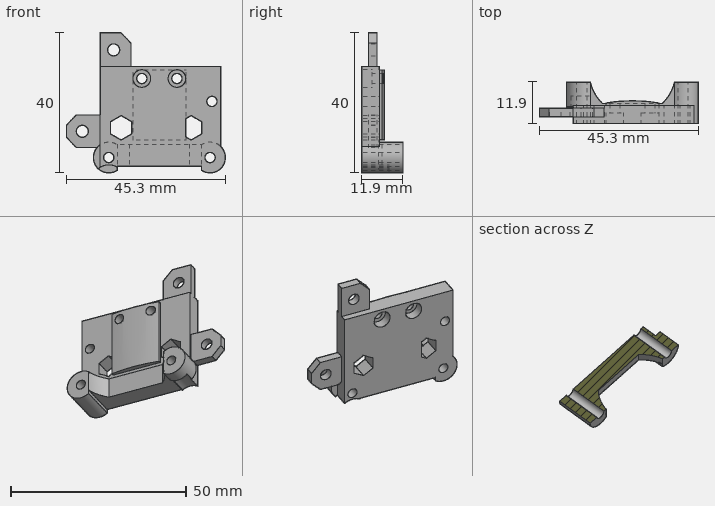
import cadquery as cq
import math

plate_width = 34.45
plate_height = 28.47
plate_thickness = 5.1

tab_front = 1.9
tab_thickness = 2.5
tab_hole_diameter = 3.35
side_tab_length = 9.55
side_tab_height = 9.3
side_tab_bottom = 5.35
side_tab_chamfer_x = 2.75
side_tab_chamfer_z = 2.9
side_tab_hole = (-5.05, 9.97)
top_tab_width = 8.9
top_tab_height = 9.65
top_tab_chamfer_x = 2.95
top_tab_chamfer_z = 3.05
top_tab_hole = (3.9, 33.2)

boss_radius = 4.4
boss_z = 2.5
left_boss_x = 2.5
right_boss_x = 31.38
boss_back = 11.85
boss_inner_offset = 2.45
left_boss_front = 4.75
web_floor = 5.75
web_flank_run = 3.45
web_flank_bulge = 0.5
boss_hole_diameter = 2.85

relief_radius = 4.62
relief_z = -4.2
relief_depth = 7.8

pad_left = 9.45
pad_right = 24.5
pad_bottom = 7.53
pad_top = 27.5
pad_edge_y = 5.85
pad_crown_y = 6.55

screw_hole_diameter = 2.85
counterbore_diameter = 5.05
counterbore_depth = 3.0
counterbored_holes = [(11.92, 25.05), (21.95, 25.05)]
side_hole = (31.9, 18.5)
hex_flats = 6.0
hex_z = 10.95
left_hex_x = 6.05
right_hex_x = 26.0

cut_margin = 0.45


def box(x0, x1, y0, y1, z0, z1):
    return cq.Workplane("XY").box(x1 - x0, y1 - y0, z1 - z0, centered=False).translate((x0, y0, z0))


def extrude_back(outline, front, back):
    """Extrude an X-Z outline from one Y position to another."""
    return outline.extrude(-(back - front)).translate((0, front, 0))


def cylinder(center, radius, front, back):
    return extrude_back(cq.Workplane("XZ").center(*center).circle(radius), front, back)


def through_hole(center, diameter):
    return cylinder(center, diameter / 2, -cut_margin, boss_back + cut_margin)


def hex_hole(x):
    corner_diameter = hex_flats / math.cos(math.pi / 6)
    hexagon = cq.Workplane("XZ").polygon(6, corner_diameter)
    cutter = extrude_back(hexagon, -cut_margin, boss_back + cut_margin)
    return cutter.rotate((0, 0, 0), (0, 1, 0), 30).translate((x, 0, hex_z))


def make_tab(points, hole):
    tab = extrude_back(cq.Workplane("XZ").polyline(points).close(), tab_front, tab_front + tab_thickness)
    return tab.cut(through_hole(hole, tab_hole_diameter))


def make_side_tab():
    tip = -side_tab_length
    shoulder = tip + side_tab_chamfer_x
    bottom = side_tab_bottom
    top = bottom + side_tab_height
    points = [
        (0, bottom),
        (shoulder, bottom),
        (tip, bottom + side_tab_chamfer_z),
        (tip, top - side_tab_chamfer_z),
        (shoulder, top),
        (0, top),
    ]
    boss_clearance = cylinder((left_boss_x, boss_z), boss_radius, 0, left_boss_front)
    return make_tab(points, side_tab_hole).cut(boss_clearance)


def make_top_tab():
    top = plate_height + top_tab_height
    points = [
        (0, plate_height),
        (0, top),
        (top_tab_width - top_tab_chamfer_x, top),
        (top_tab_width, top - top_tab_chamfer_z),
        (top_tab_width, plate_height),
    ]
    return make_tab(points, top_tab_hole)


left_boss_inner = left_boss_x + boss_inner_offset
right_boss_inner = right_boss_x - boss_inner_offset


def make_bosses():
    bottom = boss_z - boss_radius
    top = boss_z + boss_radius
    left = cylinder((left_boss_x, boss_z), boss_radius, 0, boss_back)
    left = left.cut(box(left_boss_x - boss_radius, 0, 0, left_boss_front, bottom, top))
    right = cylinder((right_boss_x, boss_z), boss_radius, 0, boss_back)
    gap = box(left_boss_inner, right_boss_inner, 0, boss_back, bottom, top)
    return left.union(right).cut(gap)


def make_web():
    height = boss_z + math.sqrt(boss_radius**2 - boss_inner_offset**2)
    rise = boss_back - web_floor
    chord = math.hypot(web_flank_run, rise)
    inset_x = web_flank_run / 2 - web_flank_bulge * rise / chord
    middle_y = (boss_back + web_floor) / 2 - web_flank_bulge * web_flank_run / chord
    return (
        cq.Workplane("XY")
        .moveTo(left_boss_inner, 0)
        .lineTo(left_boss_inner, boss_back)
        .threePointArc((left_boss_inner + inset_x, middle_y), (left_boss_inner + web_flank_run, web_floor))
        .lineTo(right_boss_inner - web_flank_run, web_floor)
        .threePointArc((right_boss_inner - inset_x, middle_y), (right_boss_inner, boss_back))
        .lineTo(right_boss_inner, 0)
        .close()
        .extrude(height)
    )


def make_pad():
    return (
        cq.Workplane("XY", origin=(0, 0, pad_bottom))
        .moveTo(pad_left, 0)
        .lineTo(pad_left, pad_edge_y)
        .threePointArc(((pad_left + pad_right) / 2, pad_crown_y), (pad_right, pad_edge_y))
        .lineTo(pad_right, 0)
        .close()
        .extrude(pad_top - pad_bottom)
    )


body = box(0, plate_width, 0, plate_thickness, 0, plate_height)
for feature in (make_bosses(), make_web(), make_pad(), make_side_tab(), make_top_tab()):
    body = body.union(feature)

body = body.cut(cylinder((left_boss_x, relief_z), relief_radius, -cut_margin, relief_depth))
for boss_x in (left_boss_x, right_boss_x):
    body = body.cut(through_hole((boss_x, boss_z), boss_hole_diameter))
for center in counterbored_holes:
    body = body.cut(through_hole(center, screw_hole_diameter))
    body = body.cut(cylinder(center, counterbore_diameter / 2, -cut_margin, counterbore_depth))
body = body.cut(through_hole(side_hole, screw_hole_diameter))

body = body.cut(hex_hole(left_hex_x))
beside_pad = box(pad_right, plate_width, -cut_margin, boss_back, 0, plate_height)
body = body.cut(hex_hole(right_hex_x).intersect(beside_pad))

result = body